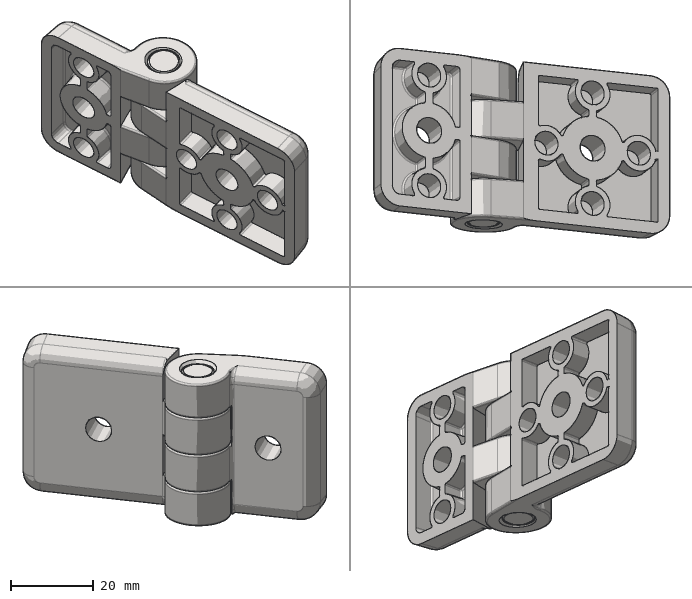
import cadquery as cq
import math


LEAF_HEIGHT = 40.0
SHORT_LEAF_REACH = 30.0
LONG_LEAF_REACH = 45.0
SHORT_LEAF_ROOT = 6.5
LONG_LEAF_ROOT = 7.0
LEAF_THICKNESS = 8.55
DRAFT = 3.0
DRAFT_SLOPE = math.tan(math.radians(DRAFT))
CORNER_RADIUS = 5.0
BACK_EDGE_RADIUS = 3.5
HALF_HEIGHT = LEAF_HEIGHT / 2

AXIS_DEPTH = 9.0
KNUCKLE_RADIUS = 8.0
KNUCKLE_COUNT = 4
KNUCKLE_PITCH = LEAF_HEIGHT / KNUCKLE_COUNT
HALF_GAP = 0.04
KNUCKLE_RIM_RADIUS = 0.45
KNUCKLE_ROOT_RADIUS = 1.0
SLOT_WALL_ANGLE = 12.0

PIN_RADIUS = 4.0
PIN_LENGTH = 38.1
PIN_CHAMFER = 0.45
PIN_HOLE_CHAMFER = 0.5

SHORT_LEAF_SCREW_X = -17.5
LONG_LEAF_SCREW_X = -25.0
SCREW_HOLE_RADIUS = 3.2
DOWEL_MOUTH_RADIUS = 3.0
DOWEL_END_RADIUS = 2.6
DOWEL_DEPTH = 7.0
DOWEL_SPACING_Z = 14.0
DOWEL_SPACING_X = 12.0

POCKET_DEPTH = 5.0
POCKET_RIM = 3.0
SHORT_POCKET_HINGE_RIM = 2.9
LONG_POCKET_HINGE_RIM = 4.0
POST_RADIUS = 4.5
SHORT_BOSS_RADIUS = 7.0
LONG_BOSS_RADIUS = 8.0
RIB_WIDTH = 2.0
SHORT_HINGE_RIB_WIDTH = 3.15
SHORT_POCKET_OUTER_CORNER = CORNER_RADIUS - POCKET_RIM
SHORT_POCKET_INNER_CORNER = 1.0
SHORT_POCKET_FLOOR_RADIUS = 0.45
CREASE_RADIUS = 0.4

MARGIN = 7.5
TOUCH = 0.15
TALL_TOP = AXIS_DEPTH + KNUCKLE_RADIUS + MARGIN
MOUNTING_PLANE = cq.Plane(origin=(0, 0, 0), xDir=(1, 0, 0), normal=(0, 1, 0))


def on_mounting_face(x, z):
    return cq.Workplane(MOUNTING_PLANE).center(x, -z)



def tangent_contact(root):
    """Point where a line from the leaf root touches the underside of the knuckles."""
    root_to_axis = math.hypot(root, AXIS_DEPTH)
    slope = math.atan2(AXIS_DEPTH, root) - math.asin(KNUCKLE_RADIUS / root_to_axis)
    return KNUCKLE_RADIUS * math.sin(slope), AXIS_DEPTH - KNUCKLE_RADIUS * math.cos(slope)


def plate(reach, root):
    """Drafted, rounded plate that runs on into the barrel above its tangent underside."""
    length = reach + KNUCKLE_RADIUS
    block = (
        on_mounting_face(length / 2 - reach, 0)
        .rect(length, LEAF_HEIGHT)
        .extrude(LEAF_THICKNESS, taper=DRAFT)
    )
    block = block.edges("(not >Y) and (not <Y)").fillet(CORNER_RADIUS)
    block = block.faces(">Y").edges().fillet(BACK_EDGE_RADIUS)
    side = (
        cq.Workplane("XY")
        .moveTo(-reach - MARGIN, 0)
        .lineTo(-root, 0)
        .lineTo(*tangent_contact(root))
        .lineTo(0, AXIS_DEPTH)
        .lineTo(-reach - MARGIN, AXIS_DEPTH)
        .close()
        .extrude(HALF_HEIGHT, both=True)
    )
    return block.intersect(side)


def barrel(root):
    """Undivided knuckle barrel, taller than the plate, its underside running to the leaf root."""
    diagonal = KNUCKLE_RADIUS * math.sqrt(0.5)
    return (
        cq.Workplane("XY")
        .moveTo(-KNUCKLE_RADIUS, 0)
        .lineTo(-root, 0)
        .lineTo(*tangent_contact(root))
        .threePointArc((diagonal, AXIS_DEPTH + diagonal), (-KNUCKLE_RADIUS, AXIS_DEPTH))
        .close()
        .extrude(HALF_HEIGHT + MARGIN, both=True)
    )


def drafted_envelope(reach):
    """Space between the two drafted planes that hold the top and bottom of the leaf."""
    top_half_height = HALF_HEIGHT - TALL_TOP * DRAFT_SLOPE
    return (
        cq.Workplane("YZ")
        .moveTo(0, -HALF_HEIGHT)
        .lineTo(TALL_TOP, -top_half_height)
        .lineTo(TALL_TOP, top_half_height)
        .lineTo(0, HALF_HEIGHT)
        .close()
        .extrude(reach + MARGIN, both=True)
    )


def slot(root, z_bottom, z_top):
    """Space for one mating knuckle, behind which the plate wall leans away from the barrel."""
    wall_lean = TALL_TOP * math.tan(math.radians(SLOT_WALL_ANGLE))
    far_side = KNUCKLE_RADIUS + MARGIN
    return (
        cq.Workplane("XY", origin=(0, 0, z_bottom))
        .polyline([(-root, 0), (-root - wall_lean, TALL_TOP), (far_side, TALL_TOP), (far_side, 0)])
        .close()
        .extrude(z_top - z_bottom)
    )


def round_rims(leaf, z_levels):
    """Round the knuckle rims whose crowns lie at the given heights."""
    crown = AXIS_DEPTH + KNUCKLE_RADIUS
    rims = [
        edge
        for edge in leaf.edges("not |Z").vals()
        if edge.BoundingBox().ymax > crown - TOUCH
        and any(abs(edge.Center().z - z) < KNUCKLE_RIM_RADIUS for z in z_levels)
    ]
    return leaf.newObject(rims).fillet(KNUCKLE_RIM_RADIUS)


def pin_hole():
    """Through hole for the pin, chamfered at the knuckle end faces."""
    end = HALF_HEIGHT - AXIS_DEPTH * DRAFT_SLOPE
    hole = cq.Workplane("XY").center(0, AXIS_DEPTH).circle(PIN_RADIUS).extrude(HALF_HEIGHT, both=True)
    mouth = (
        cq.Workplane("XY", origin=(0, AXIS_DEPTH, end - PIN_HOLE_CHAMFER))
        .circle(PIN_RADIUS)
        .extrude(2 * PIN_HOLE_CHAMFER, taper=-45)
    )
    return hole.union(mouth).union(mouth.mirror("XY"))


def leaf_blank(reach, root):
    """Plate with two knuckles, one flush with the top edge and one just below mid height."""
    blank = plate(reach, root).union(barrel(root))
    hollow = cq.selectors.BoxSelector(
        (-KNUCKLE_RADIUS - TOUCH, TOUCH, -HALF_HEIGHT),
        (-KNUCKLE_RADIUS + TOUCH, LEAF_THICKNESS + TOUCH, HALF_HEIGHT),
    )
    blank = blank.edges(hollow).fillet(KNUCKLE_ROOT_RADIUS)
    blank = blank.intersect(drafted_envelope(reach))

    upper_slot = (-HALF_GAP, KNUCKLE_PITCH + HALF_GAP)
    lower_slot = (-HALF_HEIGHT - MARGIN, -KNUCKLE_PITCH + HALF_GAP)
    blank = blank.cut(slot(root, *upper_slot)).cut(slot(root, *lower_slot))

    drafted_end = HALF_HEIGHT - AXIS_DEPTH * DRAFT_SLOPE
    blank = round_rims(blank, upper_slot)
    blank = round_rims(blank, lower_slot)
    blank = round_rims(blank, [drafted_end])
    return blank.cut(pin_hole())



def screw_hole(x):
    return on_mounting_face(x, 0).circle(SCREW_HOLE_RADIUS).extrude(LEAF_THICKNESS)


def dowel_hole(x, z):
    """Blind hole narrowing with depth."""
    return (
        on_mounting_face(x, z)
        .circle(DOWEL_MOUTH_RADIUS)
        .workplane(offset=DOWEL_DEPTH)
        .circle(DOWEL_END_RADIUS)
        .loft()
    )


def short_leaf_dowels():
    return [(SHORT_LEAF_SCREW_X, z) for z in (-DOWEL_SPACING_Z, DOWEL_SPACING_Z)]


def long_leaf_dowels():
    x = LONG_LEAF_SCREW_X
    above_and_below = [(x, z) for z in (-DOWEL_SPACING_Z, DOWEL_SPACING_Z)]
    beside = [(x + dx, 0) for dx in (-DOWEL_SPACING_X, DOWEL_SPACING_X)]
    return above_and_below + beside



def pocket_block(x_min, x_max, draft):
    """Plain pocket volume that narrows with depth."""
    return (
        on_mounting_face((x_min + x_max) / 2, 0)
        .rect(x_max - x_min, LEAF_HEIGHT - 2 * POCKET_RIM)
        .extrude(POCKET_DEPTH, taper=draft)
    )


def post(x, z, radius, draft):
    """Round post standing in a pocket, wider toward the floor."""
    return on_mounting_face(x, z).circle(radius).extrude(POCKET_DEPTH, taper=-draft)


def rib(x_min, x_max, z_min, z_max, draft):
    """Straight rib standing in a pocket, wider toward the floor."""
    return (
        on_mounting_face((x_min + x_max) / 2, (z_min + z_max) / 2)
        .rect(x_max - x_min, z_max - z_min)
        .extrude(POCKET_DEPTH, taper=-draft)
    )


def upright_rib(x, draft):
    """Rib through the screw boss that joins the posts above and below it."""
    return rib(x - RIB_WIDTH / 2, x + RIB_WIDTH / 2, -DOWEL_SPACING_Z, DOWEL_SPACING_Z, draft)


def crease_box(x_min, x_max, half_height):
    """Picks the edges that run through the depth of a pocket inside the given area."""
    return cq.selectors.BoxSelector(
        (x_min, TOUCH, -half_height), (x_max, POCKET_DEPTH - TOUCH, half_height)
    )


def short_leaf_pocket():
    """Drafted pocket with rounded floor edges, split by posts, boss and ribs."""
    x = SHORT_LEAF_SCREW_X
    x_min = -SHORT_LEAF_REACH + POCKET_RIM
    x_max = -SHORT_LEAF_ROOT - SHORT_POCKET_HINGE_RIM
    pocket = pocket_block(x_min, x_max, DRAFT)
    corners = "(not >Y) and (not <Y)"
    pocket = pocket.edges(corners).edges("<X").fillet(SHORT_POCKET_OUTER_CORNER)
    pocket = pocket.edges(corners).edges(">X").fillet(SHORT_POCKET_INNER_CORNER)

    pocket = pocket.cut(post(x, 0, SHORT_BOSS_RADIUS, DRAFT))
    pocket = pocket.cut(upright_rib(x, DRAFT))
    hinge_rib_edge = SHORT_HINGE_RIB_WIDTH / 2
    pocket = pocket.cut(rib(x, -SHORT_LEAF_ROOT, -hinge_rib_edge, hinge_rib_edge, DRAFT))
    for post_x, post_z in short_leaf_dowels():
        pocket = pocket.cut(post(post_x, post_z, POST_RADIUS, DRAFT))

    beside_posts = crease_box(x - POST_RADIUS, x + POST_RADIUS, HALF_HEIGHT)
    beside_hinge_rib = crease_box(x + POST_RADIUS, x_max, SHORT_HINGE_RIB_WIDTH)
    pocket = pocket.edges(beside_posts + beside_hinge_rib).fillet(CREASE_RADIUS)
    compartments = [
        cq.Workplane(solid).faces(">Y").edges().fillet(SHORT_POCKET_FLOOR_RADIUS).val()
        for solid in pocket.solids().vals()
    ]
    return cq.Workplane(cq.Compound.makeCompound(compartments))


def long_leaf_pocket():
    """Straight-walled pocket with four posts around the screw boss."""
    x = LONG_LEAF_SCREW_X
    x_min = -LONG_LEAF_REACH + POCKET_RIM
    x_max = -LONG_LEAF_ROOT - LONG_POCKET_HINGE_RIM
    pocket = pocket_block(x_min, x_max, 0)
    pocket = pocket.cut(post(x, 0, LONG_BOSS_RADIUS, 0))
    pocket = pocket.cut(upright_rib(x, 0))
    pocket = pocket.cut(rib(x_min, x, -RIB_WIDTH / 2, RIB_WIDTH / 2, 0))
    for post_x, post_z in long_leaf_dowels():
        pocket = pocket.cut(post(post_x, post_z, POST_RADIUS, 0))

    free_end_gap = crease_box(x_min - TOUCH, x - DOWEL_SPACING_X, RIB_WIDTH)
    everywhere = crease_box(x_min - TOUCH, x_max + TOUCH, HALF_HEIGHT)
    return pocket.edges(everywhere - free_end_gap).fillet(CREASE_RADIUS)



def finished_leaf(blank, pocket, screw_x, dowels):
    leaf = blank.cut(pocket).cut(screw_hole(screw_x))
    for x, z in dowels:
        leaf = leaf.cut(dowel_hole(x, z))
    return leaf


def short_leaf():
    blank = leaf_blank(SHORT_LEAF_REACH, SHORT_LEAF_ROOT)
    return finished_leaf(blank, short_leaf_pocket(), SHORT_LEAF_SCREW_X, short_leaf_dowels())


def long_leaf():
    blank = leaf_blank(LONG_LEAF_REACH, LONG_LEAF_ROOT)
    leaf = finished_leaf(blank, long_leaf_pocket(), LONG_LEAF_SCREW_X, long_leaf_dowels())
    return leaf.rotate((0, 0, 0), (0, 1, 0), 180)


def hinge_pin():
    pin = cq.Workplane("XY").center(0, AXIS_DEPTH).circle(PIN_RADIUS).extrude(PIN_LENGTH / 2, both=True)
    return pin.faces("<Z or >Z").edges().chamfer(PIN_CHAMFER)


bodies = [short_leaf(), long_leaf(), hinge_pin()]
result = cq.Compound.makeCompound([solid for body in bodies for solid in body.solids().vals()])